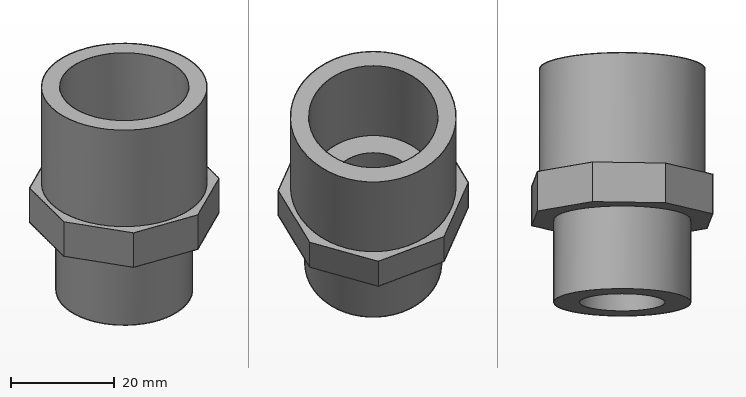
import cadquery as cq
import math

total_height = 46.0
spigot_length = 16.3
nut_height = 7.8
nut_top = spigot_length + nut_height
socket_depth = total_height - nut_top

nut_across_flats = 34.0
nut_sides = 8
spigot_diameter = 26.5
barrel_diameter = 32.0
socket_diameter = 25.0
bore_diameter = 16.5


def cylinder(diameter, bottom, height):
    """Vertical cylinder on the Z axis, standing on the given level."""
    return cq.Workplane("XY").workplane(offset=bottom).circle(diameter / 2).extrude(height)


def octagonal_nut():
    """Regular octagonal collar with flats facing the X and Y axes."""
    half_side_angle = math.pi / nut_sides
    across_corners = nut_across_flats / math.cos(half_side_angle)
    return (
        cq.Workplane("XY")
        .workplane(offset=spigot_length)
        .polygon(nut_sides, across_corners)
        .extrude(nut_height)
        .rotate((0, 0, 0), (0, 0, 1), math.degrees(half_side_angle))
    )


spigot = cylinder(spigot_diameter, 0, spigot_length)
barrel = cylinder(barrel_diameter, nut_top, total_height - nut_top)
body = spigot.union(octagonal_nut()).union(barrel)

bore = cylinder(bore_diameter, 0, total_height)
socket = cylinder(socket_diameter, total_height - socket_depth, socket_depth)
result = body.cut(bore).cut(socket)